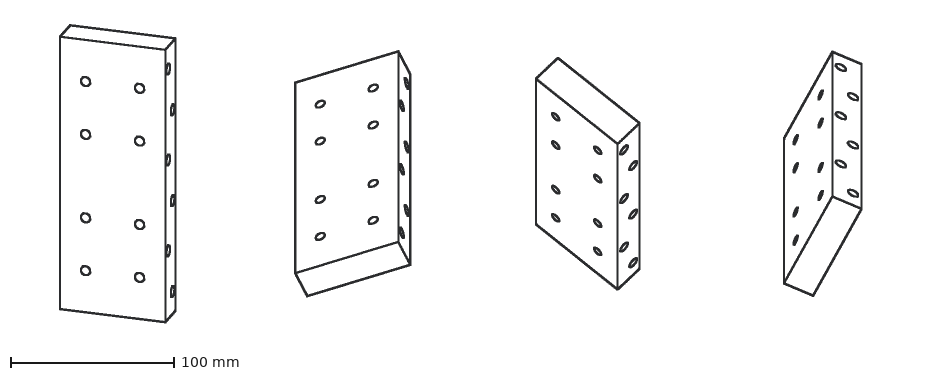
import cadquery as cq

width = 68.0
thickness = 20.0
height = 180.0

face_hole_diameter = 6.0
face_hole_x = 17.5
face_hole_heights = (27.5, 62.5)

side_hole_diameter = 6.8
side_hole_count = 6
side_hole_pitch = height / side_hole_count
side_hole_offset = 4.1


def face_holes():
    """Cylinders along Y for the holes in the broad face."""
    points = [
        (side * face_hole_x, end * z)
        for side in (-1, 1)
        for end in (-1, 1)
        for z in face_hole_heights
    ]
    return (
        cq.Workplane("XZ")
        .pushPoints(points)
        .circle(face_hole_diameter / 2)
        .extrude(thickness, both=True)
    )


def side_holes():
    """Cylinders along X, alternating between back and front from the bottom up."""
    points = []
    for i in range(side_hole_count):
        y = side_hole_offset if i % 2 == 0 else -side_hole_offset
        z = (i + 0.5) * side_hole_pitch - height / 2
        points.append((y, z))
    return (
        cq.Workplane("YZ")
        .pushPoints(points)
        .circle(side_hole_diameter / 2)
        .extrude(width, both=True)
    )


plate = cq.Workplane("XY").box(width, thickness, height)
result = plate.cut(face_holes()).cut(side_holes())